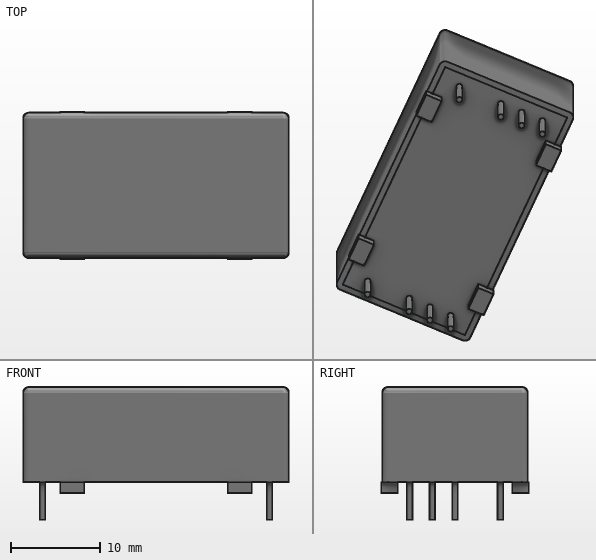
import cadquery as cq

COVER_LENGTH = 29.75
COVER_WIDTH = 16.3
COVER_HEIGHT = 10.65
EDGE_RADIUS = 0.68

WALL = EDGE_RADIUS
BASE_THICKNESS = 1.25
BASE_LENGTH = COVER_LENGTH - 2 * WALL
BASE_WIDTH = COVER_WIDTH - 2 * WALL

FOOT_LENGTH = 2.75
FOOT_DEPTH = 1.87
FOOT_HEIGHT = 1.25
FOOT_SPACING = 18.75
FEET_OUTER_WIDTH = 16.5

PIN_DIAMETER = 0.65
PIN_LENGTH = 4.22
PIN_ROW_SPACING = 25.4
PIN_PITCH = PIN_ROW_SPACING / 10
PIN_STEPS = [-2, -1, 0, 2]


def base_plate():
    """Flat plate that fills the mouth of the cover; its underside is at Z = 0."""
    return cq.Workplane("XY").box(
        BASE_LENGTH, BASE_WIDTH, BASE_THICKNESS, centered=(True, True, False)
    )


def make_cover():
    """Box rounded on its upright and top edges, with a recess for the base."""
    box = cq.Workplane("XY").box(
        COVER_LENGTH, COVER_WIDTH, COVER_HEIGHT, centered=(True, True, False)
    )
    return box.edges("|Z or >Z").fillet(EDGE_RADIUS).cut(base_plate())


def feet():
    """Four rectangular feet hanging below the long sides."""
    return (
        cq.Workplane("XY")
        .rarray(FOOT_SPACING, FEET_OUTER_WIDTH - FOOT_DEPTH, 2, 2)
        .rect(FOOT_LENGTH, FOOT_DEPTH)
        .extrude(-FOOT_HEIGHT)
    )


def pins():
    """Two matching rows of round pins hanging below the ends."""
    places = [
        (side * PIN_ROW_SPACING / 2, step * PIN_PITCH)
        for side in (-1, 1)
        for step in PIN_STEPS
    ]
    return cq.Workplane("XY").pushPoints(places).circle(PIN_DIAMETER / 2).extrude(-PIN_LENGTH)


def make_base():
    """Plate, feet and pins as one solid."""
    return base_plate().union(feet()).union(pins())


cover = make_cover()
base = make_base()

result = cq.Compound.makeCompound([cover.solids().val(), base.solids().val()])